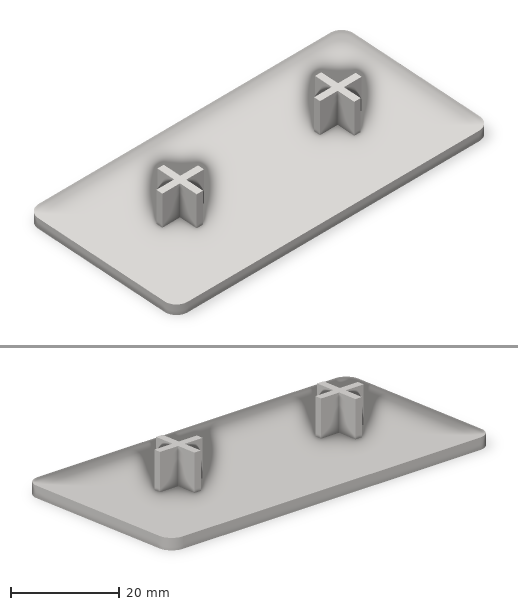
import cadquery as cq

plate_width = 40.0
plate_length = 80.0
plate_thickness = 2.5
corner_radius = 3.0

post_height = 8.0
post_span = 10.6
arm_thickness = 1.6
post_spacing = plate_length / 2


def make_plate():
    """Flat plate with rounded vertical corners, resting on Z = 0."""
    plate = cq.Workplane("XY").box(plate_width, plate_length, plate_thickness, centered=(True, True, False))
    return plate.edges("|Z").fillet(corner_radius)


def make_post(center_y):
    """Plus-section post, sunk through the plate so that it joins it fully."""
    height = plate_thickness + post_height
    base = cq.Workplane("XY").center(0, center_y)
    arm_along_x = base.rect(post_span, arm_thickness).extrude(height)
    arm_along_y = base.rect(arm_thickness, post_span).extrude(height)
    return arm_along_x.union(arm_along_y)


result = make_plate()
for side in (-1, 1):
    result = result.union(make_post(side * post_spacing / 2))
result = result.clean()